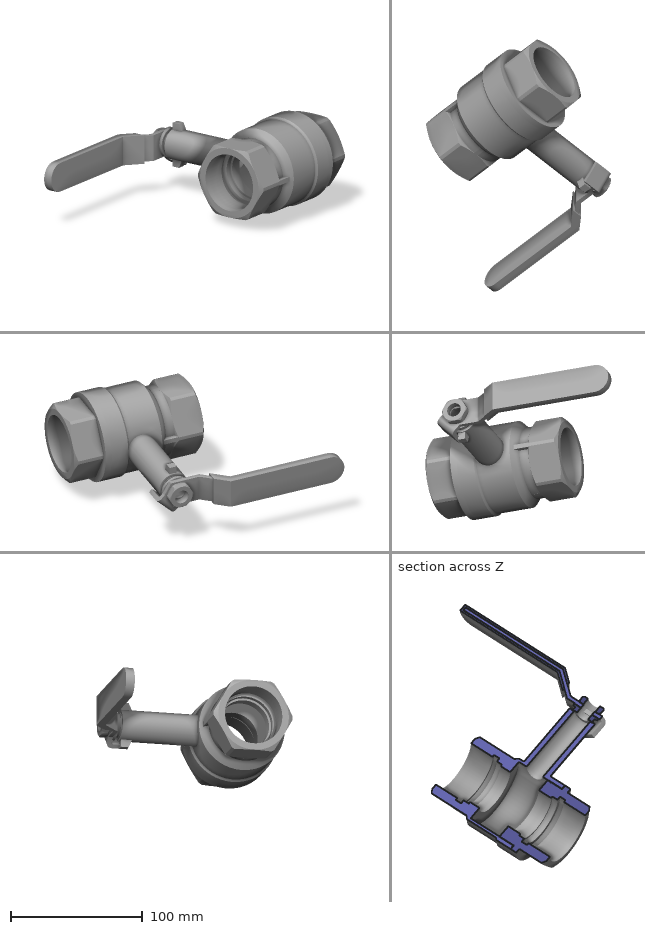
import cadquery as cq
import math


HEX_FLATS = 55.0
HEX_CORNER_DIA = 62.0
HEX_CHAMFER_ANGLE = 30.0
HALF_LENGTH = 53.9

FLANGE_DIA = 70.0
BODY_DIA = 67.0
COLLAR_DIA = 55.0
CAP_JOINT_Y = 26.0
FLANGE_FRONT_Y = 12.1
BODY_FRONT_Y = -16.7
CONE_FRONT_Y = -22.5
HEX_BACK_Y = -29.5
FLANGE_CHAMFER = (FLANGE_DIA - BODY_DIA) / 2
RIB_WIDTH = 3.7
RIB_OVERLAP = 2.2

PORT_DIA = 39.0
THREAD_DIA = 44.9
RELIEF_DIA = 49.0
RELIEF_LENGTH = 4.8
SEAT_DIA = 42.3
SEAT_LENGTH = 4.8
THREAD_DEPTH = 25.2
CAVITY_DIA = 61.5
CAVITY_FRONT_Y = -14.7
CAP_PLUG_Y = 12.1

CAP_FLANGE_BACK_Y = 31.0

NECK_DIA = 24.0
NECK_END_X = -92.0
NECK_BORE_DIA = 15.0
LUG_WIDTH = 5.9
LUG_TOP_Z = 17.5
LUG_START_X = -91.0
LUG_TOP_LENGTH = 5.9
LUG_BASE_LENGTH = 8.6
LUG_BASE_Z = 11.4

GLAND_SEAT_DIA = 20.0
GLAND_SEAT_LENGTH = 0.7
GLAND_DIA = 18.4
GLAND_COLLAR_DIA = 23.0
GLAND_COLLAR_LENGTH = 2.4
STEM_HOLE_DIA = 10.1

PLATE_THICKNESS = 3.5
PLATE_BACK_X = -97.5
PLATE_FRONT_X = PLATE_BACK_X - PLATE_THICKNESS
PLATE_WIDTH = 20.5
SHOULDER_Y = 6.3
SHOULDER_ANGLE = 60.0
CRANK_RADIUS = 2.2
CRANK_ANGLE = 40.0
CRANK_START_Y = -18.0
STEM_HOLE_FLATS = 8.3
TAB_ANGLE = 45.0
TAB_WIDTH = 17.7
TAB_REACH = 15.3
TAB_END_X = -84.0
TAB_OUTER_RADIUS = 4.2
TAB_INNER_RADIUS = 1.7

TOTAL_WIDTH = 153.5
TOTAL_LENGTH = 183.9
GRIP_FRONT_X = FLANGE_DIA / 2 - TOTAL_WIDTH
GRIP_THICKNESS = 6.8
GRIP_WIDTH = 22.8
GRIP_START_Y = -25.4
GRIP_END_Y = HALF_LENGTH - TOTAL_LENGTH
PLATE_MIDDLE_X = PLATE_BACK_X - PLATE_THICKNESS / 2
GRIP_MIDDLE_X = GRIP_FRONT_X + GRIP_THICKNESS / 2
CRANK_END_Y = CRANK_START_Y - (PLATE_MIDDLE_X - GRIP_MIDDLE_X) / math.tan(math.radians(CRANK_ANGLE))
GRIP_WALL = (GRIP_THICKNESS - PLATE_THICKNESS) / 2

NUT_FLATS = 18.0
NUT_CORNER_DIA = 20.0
NUT_LENGTH = 6.0
NUT_HOLE_DIA = 11.0
NUT_CHAMFER_ANGLE = 45.0


def disc(diameter, y_start, y_end):
    """Cylinder about the bore axis between two Y positions."""
    face = cq.Workplane("XZ", origin=(0, y_start, 0)).circle(diameter / 2)
    return face.extrude(y_start - y_end)


def post(diameter, x_start, x_end):
    """Cylinder about the stem axis between two X positions."""
    return cq.Workplane("YZ", origin=(x_start, 0, 0)).circle(diameter / 2).extrude(x_end - x_start)


def hex_prism(flats, corner_dia, length, angle, chamfer_start, chamfer_end):
    """Hexagon along local Z with turned corners; flats face local Y. Ends are optionally chamfered."""
    inner = flats / 2
    outer = corner_dia / 2
    drop = (outer - inner) * math.tan(math.radians(angle))
    hexagon = cq.Workplane("XY").polygon(6, flats / math.cos(math.pi / 6)).extrude(length)
    profile = [(0, 0)]
    profile += [(inner, 0), (outer, drop)] if chamfer_start else [(outer, 0)]
    profile += [(outer, length - drop), (inner, length)] if chamfer_end else [(outer, length)]
    profile += [(0, length)]
    envelope = cq.Workplane("XZ").polyline(profile).close().revolve(360, (0, 0, 0), (0, 1, 0))
    return hexagon.intersect(envelope)


def valve_hex(y_start, y_end, chamfer_end):
    """Wrench hexagon about the bore axis, chamfered at y_start and, on request, at y_end."""
    length = abs(y_end - y_start)
    prism = hex_prism(HEX_FLATS, HEX_CORNER_DIA, length, HEX_CHAMFER_ANGLE, True, chamfer_end)
    direction = math.copysign(90, y_start - y_end)
    return prism.rotate((0, 0, 0), (1, 0, 0), direction).translate((0, y_start, 0))


def end_bore(side):
    """Stepped bore of one end: thread, relief groove and seat step; side is -1 for front, +1 for back."""
    mouth = side * HALF_LENGTH
    groove_bottom = side * (HALF_LENGTH - THREAD_DEPTH)
    groove_top = groove_bottom + side * RELIEF_LENGTH
    bore = disc(THREAD_DIA, mouth, groove_top)
    bore = bore.union(disc(RELIEF_DIA, groove_top, groove_bottom))
    return bore.union(disc(SEAT_DIA, groove_bottom, groove_bottom - side * SEAT_LENGTH))


def collar_ribs():
    """Four ribs between the cone and the front hexagon, flush with its flats and corners."""
    length = BODY_FRONT_Y - HEX_BACK_Y + RIB_OVERLAP
    middle = (BODY_FRONT_Y + HEX_BACK_Y - RIB_OVERLAP) / 2
    level = cq.Workplane("XY").box(HEX_CORNER_DIA, length, RIB_WIDTH)
    upright = cq.Workplane("XY").box(RIB_WIDTH, length, HEX_FLATS)
    return level.union(upright).translate((0, middle, 0))


def stop_lug(side):
    """Tapered lever stop on the neck; side is +1 for the top and -1 for the bottom."""
    outline = [
        (LUG_START_X, 0),
        (LUG_START_X, side * LUG_TOP_Z),
        (LUG_START_X + LUG_TOP_LENGTH, side * LUG_TOP_Z),
        (LUG_START_X + LUG_BASE_LENGTH, side * LUG_BASE_Z),
        (LUG_START_X + LUG_BASE_LENGTH, 0),
    ]
    return cq.Workplane("XZ").polyline(outline).close().extrude(LUG_WIDTH / 2, both=True)


def make_housing():
    """Body with its front hexagon, stem neck and stop lugs, hollowed for the cap."""
    outline = [
        (0, CAP_JOINT_Y),
        (FLANGE_DIA / 2, CAP_JOINT_Y),
        (FLANGE_DIA / 2, FLANGE_FRONT_Y),
        (BODY_DIA / 2, FLANGE_FRONT_Y - FLANGE_CHAMFER),
        (BODY_DIA / 2, BODY_FRONT_Y),
        (COLLAR_DIA / 2, CONE_FRONT_Y),
        (COLLAR_DIA / 2, HEX_BACK_Y),
        (0, HEX_BACK_Y),
    ]
    body = cq.Workplane("XY").polyline(outline).close().revolve(360, (0, 0, 0), (0, 1, 0))
    body = body.union(valve_hex(-HALF_LENGTH, HEX_BACK_Y, True))
    body = body.union(collar_ribs())
    body = body.union(post(NECK_DIA, NECK_END_X, 0))
    for side in (1, -1):
        body = body.union(stop_lug(side))
    body = body.cut(end_bore(-1))
    body = body.cut(disc(PORT_DIA, -HALF_LENGTH, CAP_JOINT_Y))
    body = body.cut(disc(CAVITY_DIA, CAVITY_FRONT_Y, CAP_JOINT_Y))
    return body.cut(post(NECK_BORE_DIA, NECK_END_X, 0))


def make_cap():
    """Back hexagon and flange with a plug that fills the back of the housing cavity."""
    cap = valve_hex(HALF_LENGTH, CAP_FLANGE_BACK_Y, False)
    cap = cap.union(disc(FLANGE_DIA, CAP_JOINT_Y, CAP_FLANGE_BACK_Y))
    cap = cap.union(disc(CAVITY_DIA, CAP_PLUG_Y, CAP_JOINT_Y))
    cap = cap.cut(end_bore(1))
    return cap.cut(disc(PORT_DIA, CAP_PLUG_Y, HALF_LENGTH))


def make_gland():
    """Hollow spacer between the neck and the lever, with a collar at the lever."""
    gland = post(GLAND_SEAT_DIA, NECK_END_X, NECK_END_X - GLAND_SEAT_LENGTH)
    gland = gland.union(post(GLAND_DIA, NECK_END_X, PLATE_BACK_X))
    gland = gland.union(post(GLAND_COLLAR_DIA, PLATE_BACK_X, PLATE_BACK_X + GLAND_COLLAR_LENGTH))
    return gland.cut(post(STEM_HOLE_DIA, NECK_END_X, PLATE_BACK_X))


def cranked_bar(thickness, width, y_start, y_end):
    """Flat bar of the given thickness along the crank's centre line, with a fully rounded far end."""
    miter = math.tan(math.radians(CRANK_ANGLE / 2))
    faces = []
    for offset in (-thickness / 2, thickness / 2):
        faces.append(
            [
                (PLATE_MIDDLE_X + offset, HALF_LENGTH),
                (PLATE_MIDDLE_X + offset, CRANK_START_Y - offset * miter),
                (GRIP_MIDDLE_X + offset, CRANK_END_Y - offset * miter),
                (GRIP_MIDDLE_X + offset, GRIP_END_Y),
            ]
        )
    outline = faces[0] + faces[1][::-1]
    bar = cq.Workplane("XY").polyline(outline).close().extrude(width / 2, both=True)
    for x, y in (faces[0][1], faces[1][1]):
        corner = cq.selectors.NearestToPointSelector((x, y, 0))
        bar = bar.edges("|Z").edges(corner).fillet(CRANK_RADIUS)
    round_y = y_end + width / 2
    blank = cq.Workplane("YZ").center((y_start + round_y) / 2, 0).rect(y_start - round_y, width)
    blank = blank.extrude(2 * GRIP_FRONT_X)
    end = cq.Workplane("YZ").center(round_y, 0).circle(width / 2).extrude(2 * GRIP_FRONT_X)
    return bar.intersect(blank.union(end))


def lever_tab():
    """Strip from the stem to the stop tab, bent back toward the housing, turned to its angle."""
    outline = [
        (PLATE_FRONT_X, 0),
        (PLATE_FRONT_X, TAB_REACH),
        (TAB_END_X, TAB_REACH),
        (TAB_END_X, TAB_REACH - PLATE_THICKNESS),
        (PLATE_BACK_X, TAB_REACH - PLATE_THICKNESS),
        (PLATE_BACK_X, 0),
    ]
    tab = cq.Workplane("XY").polyline(outline).close().extrude(TAB_WIDTH / 2, both=True)
    corner = cq.selectors.NearestToPointSelector((PLATE_FRONT_X, TAB_REACH, 0))
    tab = tab.edges("|Z").edges(corner).fillet(TAB_OUTER_RADIUS)
    corner = cq.selectors.NearestToPointSelector((PLATE_BACK_X, TAB_REACH - PLATE_THICKNESS, 0))
    tab = tab.edges("|Z").edges(corner).fillet(TAB_INNER_RADIUS)
    return tab.rotate((0, 0, 0), (1, 0, 0), -TAB_ANGLE)


def lever_shoulder():
    """Web between the arm's top edge and the tab strip, closed by a sloping edge."""
    slope = math.tan(math.radians(SHOULDER_ANGLE))
    top_z = PLATE_WIDTH / 2
    strip_sum = TAB_WIDTH / 2 / math.sin(math.radians(TAB_ANGLE))
    foot_y = (top_z + SHOULDER_Y * slope - strip_sum) / (slope - 1)
    outline = [(0, 0), (0, top_z), (SHOULDER_Y, top_z), (foot_y, strip_sum - foot_y)]
    web = cq.Workplane("YZ", origin=(PLATE_FRONT_X, 0, 0)).polyline(outline).close()
    return web.extrude(PLATE_THICKNESS)


def stem_hole():
    """Round hole with two flats through the lever plate."""
    flats = cq.Workplane("YZ", origin=(PLATE_FRONT_X, 0, 0)).rect(PLATE_WIDTH, STEM_HOLE_FLATS)
    return post(STEM_HOLE_DIA, PLATE_FRONT_X, PLATE_BACK_X).intersect(flats.extrude(PLATE_THICKNESS))


def make_lever(gland, housing):
    """Cranked plate with its stop tab, relieved where it rests on the gland, neck and stop lug."""
    lever = cranked_bar(PLATE_THICKNESS, PLATE_WIDTH, 0, GRIP_END_Y + GRIP_WALL)
    lever = lever.union(lever_tab())
    lever = lever.union(lever_shoulder())
    lever = lever.cut(stem_hole())
    return lever.cut(gland).cut(housing)


def make_grip(lever):
    """Sleeve around the far part of the lever."""
    return cranked_bar(GRIP_THICKNESS, GRIP_WIDTH, GRIP_START_Y, GRIP_END_Y).cut(lever)


def make_nut():
    """Hexagon nut on the outer face of the lever, with flats facing up and down."""
    nut = hex_prism(NUT_FLATS, NUT_CORNER_DIA, NUT_LENGTH, NUT_CHAMFER_ANGLE, True, True)
    nut = nut.faces(">Z").workplane().hole(NUT_HOLE_DIA)
    nut = nut.rotate((0, 0, 0), (0, 1, 0), -90)
    nut = nut.rotate((0, 0, 0), (1, 0, 0), 90)
    return nut.translate((PLATE_FRONT_X, 0, 0))


housing = make_housing()
cap = make_cap()
gland = make_gland()
lever = make_lever(gland, housing)
grip = make_grip(lever)
nut = make_nut()

result = cq.Compound.makeCompound(
    [housing.val(), cap.val(), gland.val(), lever.val(), grip.val(), nut.val()]
)